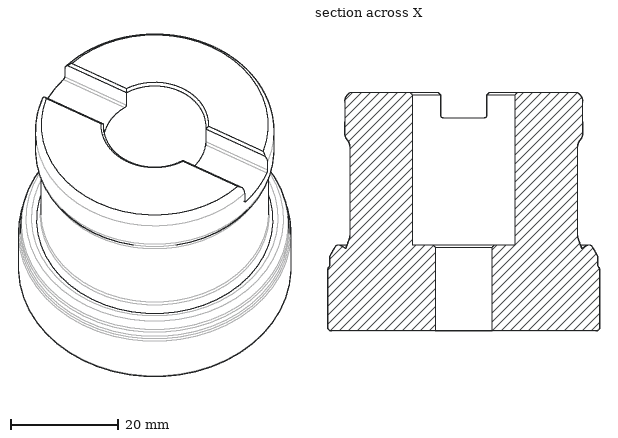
import cadquery as cq
import math

TOTAL_HEIGHT = 44.45
COLLAR_HEIGHT = 16.05

BASE_DIAMETER = 50.8
COLLAR_DIAMETER = 50.0
NECK_DIAMETER = 42.45
HEAD_DIAMETER = 44.45

BASE_EDGE_RADIUS = 0.75
BASE_SHOULDER_BOTTOM = 11.35
SHOULDER_ANGLE = math.radians(45)
COLLAR_CONE_ANGLE = math.radians(30)
COLLAR_BLEND_BOTTOM = 13.6
COLLAR_BLEND_RADIUS = 1.2
COLLAR_RIM_RADIUS = 0.75
GROOVE_FLANK_ANGLE = math.radians(30)

NECK_CONE_ANGLE = math.radians(20)
NECK_BLEND_TOP = 17.9
NECK_BLEND_RADIUS = 2.1

NECK_TOP = 34.2
HEAD_BLEND_RADIUS = 2.1
HEAD_TOP_ROUND_HEIGHT = 1.9
HEAD_TOP_ROUND_WIDTH = 1.1

BORE_DIAMETER = 19.05
BORE_FLOOR = COLLAR_HEIGHT
HOLE_DIAMETER = 10.5
EDGE_CHAMFER = 0.5

SLOT_WIDTH = 8.5
SLOT_DEPTH = 4.75
SLOT_CORNER_RADIUS = 0.4


def rise(radius, start_angle, end_angle):
    """Axial length of an arc whose tangent turns between two angles from the axis."""
    return radius * abs(math.sin(start_angle) - math.sin(end_angle))


def spread(radius, start_angle, end_angle):
    """Radial width of an arc whose tangent turns between two angles from the axis."""
    return radius * abs(math.cos(start_angle) - math.cos(end_angle))


def make_body():
    """Revolve the solid outer profile, drawn as (radius, height), around Z."""
    base_r = BASE_DIAMETER / 2
    collar_r = COLLAR_DIAMETER / 2
    neck_r = NECK_DIAMETER / 2
    head_r = HEAD_DIAMETER / 2

    half_step = (base_r - collar_r) / 2
    shoulder_radius = half_step / (1 - math.cos(SHOULDER_ANGLE))
    shoulder_rise = rise(shoulder_radius, 0, SHOULDER_ANGLE)
    shoulder_mid = (base_r - half_step, BASE_SHOULDER_BOTTOM + shoulder_rise)
    shoulder_top = (collar_r, BASE_SHOULDER_BOTTOM + 2 * shoulder_rise)

    cone_bottom = (
        collar_r - spread(COLLAR_BLEND_RADIUS, 0, COLLAR_CONE_ANGLE),
        COLLAR_BLEND_BOTTOM + rise(COLLAR_BLEND_RADIUS, 0, COLLAR_CONE_ANGLE),
    )
    cone_top_z = COLLAR_HEIGHT - rise(COLLAR_RIM_RADIUS, COLLAR_CONE_ANGLE, math.pi / 2)
    cone_top_r = cone_bottom[0] - (cone_top_z - cone_bottom[1]) * math.tan(COLLAR_CONE_ANGLE)
    rim_r = cone_top_r - spread(COLLAR_RIM_RADIUS, COLLAR_CONE_ANGLE, math.pi / 2)
    rim_inner_r = rim_r - COLLAR_RIM_RADIUS * math.sin(GROOVE_FLANK_ANGLE)
    rim_inner_z = COLLAR_HEIGHT - COLLAR_RIM_RADIUS * (1 - math.cos(GROOVE_FLANK_ANGLE))

    flare_r = neck_r + spread(NECK_BLEND_RADIUS, 0, NECK_CONE_ANGLE)
    flare_z = NECK_BLEND_TOP - rise(NECK_BLEND_RADIUS, 0, NECK_CONE_ANGLE)

    cone_slope = 1 / math.tan(NECK_CONE_ANGLE)
    flank_slope = math.tan(GROOVE_FLANK_ANGLE)
    flank_z_below_flare = rim_inner_z - flank_slope * (rim_inner_r - flare_r)
    groove_width = (flare_z - flank_z_below_flare) / (cone_slope + flank_slope)
    groove_bottom = (flare_r + groove_width, flare_z - groove_width * cone_slope)

    half_overhang = (head_r - neck_r) / 2
    head_angle = math.acos(1 - half_overhang / HEAD_BLEND_RADIUS)
    head_rise = rise(HEAD_BLEND_RADIUS, 0, head_angle)

    return (
        cq.Workplane("XZ")
        .moveTo(0, 0)
        .lineTo(base_r - BASE_EDGE_RADIUS, 0)
        .tangentArcPoint((base_r, BASE_EDGE_RADIUS), relative=False)
        .lineTo(base_r, BASE_SHOULDER_BOTTOM)
        .tangentArcPoint(shoulder_mid, relative=False)
        .tangentArcPoint(shoulder_top, relative=False)
        .lineTo(collar_r, COLLAR_BLEND_BOTTOM)
        .tangentArcPoint(cone_bottom, relative=False)
        .lineTo(cone_top_r, cone_top_z)
        .tangentArcPoint((rim_r, COLLAR_HEIGHT), relative=False)
        .tangentArcPoint((rim_inner_r, rim_inner_z), relative=False)
        .lineTo(*groove_bottom)
        .lineTo(flare_r, flare_z)
        .tangentArcPoint((neck_r, NECK_BLEND_TOP), relative=False)
        .lineTo(neck_r, NECK_TOP)
        .tangentArcPoint((neck_r + half_overhang, NECK_TOP + head_rise), relative=False)
        .tangentArcPoint((head_r, NECK_TOP + 2 * head_rise), relative=False)
        .lineTo(head_r, TOTAL_HEIGHT - HEAD_TOP_ROUND_HEIGHT)
        .tangentArcPoint((head_r - HEAD_TOP_ROUND_WIDTH, TOTAL_HEIGHT), relative=False)
        .lineTo(0, TOTAL_HEIGHT)
        .close()
        .revolve(360, (0, 0, 0), (0, 1, 0))
    )


def make_bore():
    """Counterbore from the top and through hole, both chamfered at their upper edge."""
    bore_r = BORE_DIAMETER / 2
    hole_r = HOLE_DIAMETER / 2
    return (
        cq.Workplane("XZ")
        .moveTo(0, 0)
        .lineTo(hole_r, 0)
        .lineTo(hole_r, BORE_FLOOR - EDGE_CHAMFER)
        .lineTo(hole_r + EDGE_CHAMFER, BORE_FLOOR)
        .lineTo(bore_r, BORE_FLOOR)
        .lineTo(bore_r, TOTAL_HEIGHT - EDGE_CHAMFER)
        .lineTo(bore_r + EDGE_CHAMFER, TOTAL_HEIGHT)
        .lineTo(0, TOTAL_HEIGHT)
        .close()
        .revolve(360, (0, 0, 0), (0, 1, 0))
    )


def make_slot():
    """Slot along X with rounded floor corners and chamfered upper edges."""
    half_width = SLOT_WIDTH / 2
    floor = TOTAL_HEIGHT - SLOT_DEPTH
    flat_half = half_width - SLOT_CORNER_RADIUS
    return (
        cq.Workplane("YZ")
        .moveTo(-flat_half, floor)
        .lineTo(flat_half, floor)
        .tangentArcPoint((half_width, floor + SLOT_CORNER_RADIUS), relative=False)
        .lineTo(half_width, TOTAL_HEIGHT - EDGE_CHAMFER)
        .lineTo(half_width + EDGE_CHAMFER, TOTAL_HEIGHT)
        .lineTo(-half_width - EDGE_CHAMFER, TOTAL_HEIGHT)
        .lineTo(-half_width, TOTAL_HEIGHT - EDGE_CHAMFER)
        .lineTo(-half_width, floor + SLOT_CORNER_RADIUS)
        .tangentArcPoint((-flat_half, floor), relative=False)
        .close()
        .extrude(BASE_DIAMETER / 2, both=True)
    )


result = make_body().cut(make_bore()).cut(make_slot())